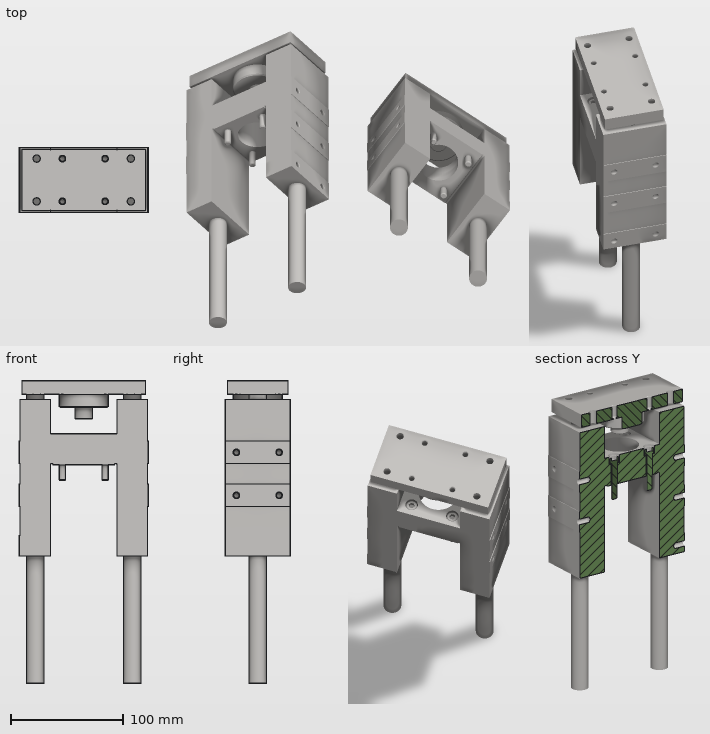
import cadquery as cq
import math

TOTAL_HEIGHT = 270.0

PLATE_DEPTH = 54.0
PLATE_SETBACK = 2.0

HOUSING_WIDTH = 115.0
HOUSING_DEPTH = PLATE_DEPTH + 2 * PLATE_SETBACK
HOUSING_TOP = 253.3
HOUSING_BOTTOM = 113.5
LEG_GAP = 59.0
BRIDGE_TOP = 222.8
BRIDGE_BOTTOM = 195.0
UNDERCUT_RADIUS = 1.0

PAD_RELIEF = 0.5
PAD_HEIGHT = 20.0
UPPER_PAD_Z = 206.0
LOWER_PAD_Z = 167.7
FOOT_PAD_TOP = 131.8
FOOT_HOLE_Z = 121.5

CENTRE_BORE_DIAMETER = 35.0
COUNTERBORE_DIAMETER = 11.0
CLEARANCE_DIAMETER = 6.5
HEAD_RECESS = 1.4

HOLE_SPACING = 38.0
THREAD_DIAMETER = 6.0
CORE_DIAMETER = 4.9
TAP_DEPTH = 10.8
DRILL_TIP_ANGLE = 120.0

PLATE_WIDTH = 110.2
PLATE_THICKNESS = 12.5
CORNER_HOLE_SPACING = 84.0
ROD_DIAMETER = 16.0
ROD_SPACING = 86.5
FLANGE_DIAMETER = 44.0
FLANGE_HEIGHT = 11.5
STUD_DIAMETER = 16.0
STUD_BOTTOM = 235.7
FLANGE_CHAMFER = 1.0
STUD_CHAMFER = 0.68

HEAD_DIAMETER = 10.0
HEAD_HEIGHT = 6.0
HEAD_CHAMFER = 0.8
SOCKET_ACROSS_FLATS = 4.9
SOCKET_DEPTH = 3.0
SHANK_DIAMETER = 6.0
SHANK_CHAMFER = 0.8
SCREW_BOTTOM = 181.0

PLATE_BOTTOM = TOTAL_HEIGHT - PLATE_THICKNESS
FLANGE_BOTTOM = PLATE_BOTTOM - FLANGE_HEIGHT
HEAD_TOP = BRIDGE_TOP - HEAD_RECESS
HEAD_SEAT = HEAD_TOP - HEAD_HEIGHT
GRID_POINTS = [(x * HOLE_SPACING / 2, y * HOLE_SPACING / 2) for x in (-1, 1) for y in (-1, 1)]
ROD_POINTS = [(side * ROD_SPACING / 2, 0) for side in (-1, 1)]


def block(width, depth, bottom, top, x=0):
    """Box centred on (x, 0) in plan, between two heights."""
    base = cq.Workplane("XY", origin=(x, 0, bottom))
    return base.box(width, depth, top - bottom, centered=(True, True, False))


def cylinders(points, diameter, bottom, top):
    """Vertical cylinders at the given plan points, between two heights."""
    base = cq.Workplane("XY", origin=(0, 0, bottom)).pushPoints(points)
    return base.circle(diameter / 2).extrude(top - bottom)


def tapped_hole(mouth, direction):
    """Cutter for a blind hole with a countersunk mouth and a conical drill-tip floor."""
    core = CORE_DIAMETER / 2
    thread = THREAD_DIAMETER / 2
    tip_depth = core / math.tan(math.radians(DRILL_TIP_ANGLE / 2))
    profile = cq.Workplane("XZ").polyline([
        (0, 0),
        (thread, 0),
        (core, thread - core),
        (core, TAP_DEPTH),
        (0, TAP_DEPTH + tip_depth),
    ]).close()
    upright = profile.revolve(360, (0, 0, 0), (0, 1, 0)).val()
    return upright.moved(cq.Plane(origin=mouth, normal=direction, xDir=(0, 1, 0)).location)


def housing_pads():
    """Raised bands on the legs; only the -X leg has the one at its foot."""
    half = PAD_HEIGHT / 2
    pads = block(HOUSING_WIDTH, HOUSING_DEPTH, UPPER_PAD_Z - half, UPPER_PAD_Z + half)
    pads = pads.union(block(HOUSING_WIDTH, HOUSING_DEPTH, LOWER_PAD_Z - half, LOWER_PAD_Z + half))
    foot_width = HOUSING_WIDTH / 2
    return pads.union(block(foot_width, HOUSING_DEPTH, HOUSING_BOTTOM, FOOT_PAD_TOP, x=-foot_width / 2))


def pad_holes():
    """Tapped holes in the pads: two rows on both sides, the foot row on the -X side only."""
    rows = [(side, z) for side in (-1, 1) for z in (UPPER_PAD_Z, LOWER_PAD_Z)] + [(-1, FOOT_HOLE_Z)]
    return [
        tapped_hole((side * HOUSING_WIDTH / 2, y * HOLE_SPACING / 2, z), (-side, 0, 0))
        for side, z in rows
        for y in (-1, 1)
    ]


def undercuts():
    """Round grooves along Y in the bridge underside, beside each leg."""
    x = LEG_GAP / 2 - UNDERCUT_RADIUS
    plane = cq.Workplane("XZ").pushPoints([(-x, BRIDGE_BOTTOM), (x, BRIDGE_BOTTOM)])
    return plane.circle(UNDERCUT_RADIUS).extrude(HOUSING_DEPTH / 2, both=True)


def make_housing():
    """H-shaped block that guides the rods and takes the screws in its bridge."""
    body = block(HOUSING_WIDTH - 2 * PAD_RELIEF, HOUSING_DEPTH, HOUSING_BOTTOM, HOUSING_TOP)
    body = body.union(housing_pads())
    body = body.cut(block(LEG_GAP, HOUSING_DEPTH, BRIDGE_TOP, HOUSING_TOP))
    body = body.cut(block(LEG_GAP, HOUSING_DEPTH, HOUSING_BOTTOM, BRIDGE_BOTTOM))
    body = body.cut(undercuts())
    body = body.cut(cylinders([(0, 0)], CENTRE_BORE_DIAMETER, BRIDGE_BOTTOM, BRIDGE_TOP))
    body = body.cut(cylinders(GRID_POINTS, CLEARANCE_DIAMETER, BRIDGE_BOTTOM, BRIDGE_TOP))
    body = body.cut(cylinders(GRID_POINTS, COUNTERBORE_DIAMETER, HEAD_SEAT, BRIDGE_TOP))
    body = body.cut(cylinders(ROD_POINTS, ROD_DIAMETER, HOUSING_BOTTOM, HOUSING_TOP))
    for hole in pad_holes():
        body = body.cut(cq.Workplane(hole))
    return body


def make_carriage():
    """Plate with its two guide rods and the flanged coupling stud under its middle."""
    rods = cylinders(ROD_POINTS, ROD_DIAMETER, 0, PLATE_BOTTOM)
    flange = cylinders([(0, 0)], FLANGE_DIAMETER, FLANGE_BOTTOM, PLATE_BOTTOM)
    flange = flange.faces("<Z").chamfer(FLANGE_CHAMFER)
    stud = cylinders([(0, 0)], STUD_DIAMETER, STUD_BOTTOM, FLANGE_BOTTOM)
    stud = stud.faces("<Z").chamfer(STUD_CHAMFER)
    body = block(PLATE_WIDTH, PLATE_DEPTH, PLATE_BOTTOM, TOTAL_HEIGHT)
    body = body.union(rods).union(flange).union(stud)
    corners = [(x * CORNER_HOLE_SPACING / 2, y * HOLE_SPACING / 2) for x in (-1, 1) for y in (-1, 1)]
    body = body.cut(cylinders(corners, CLEARANCE_DIAMETER, PLATE_BOTTOM, TOTAL_HEIGHT))
    for x, y in GRID_POINTS:
        body = body.cut(cq.Workplane(tapped_hole((x, y, TOTAL_HEIGHT), (0, 0, -1))))
    return body


def make_screw(x, y):
    """Socket head screw, head up, seated in its counterbore."""
    head = cylinders([(x, y)], HEAD_DIAMETER, HEAD_SEAT, HEAD_TOP).faces(">Z").chamfer(HEAD_CHAMFER)
    shank = cylinders([(x, y)], SHANK_DIAMETER, SCREW_BOTTOM, HEAD_SEAT).faces("<Z").chamfer(SHANK_CHAMFER)
    across_corners = SOCKET_ACROSS_FLATS / math.cos(math.pi / 6)
    socket = cq.Workplane("XY", origin=(x, y, HEAD_TOP)).polygon(6, across_corners).extrude(-SOCKET_DEPTH)
    return head.union(shank).cut(socket)


housing = make_housing()
carriage = make_carriage()
screws = [make_screw(x, y) for x, y in GRID_POINTS]

result = cq.Compound.makeCompound([housing.val(), carriage.val(), *[screw.val() for screw in screws]])